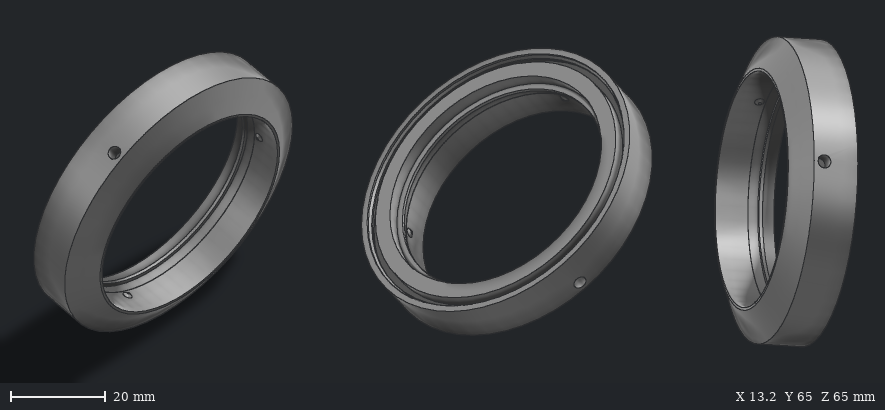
import cadquery as cq

length = 13.2
cone_start = 9.7
mouth_depth = 0.5
ridge_start = 1.05
ridge_end = 1.5
groove_floor = 3.0
seat = groove_floor
lip_back = 3.8
relief_end = 6.0

outer_diameter = 65.0
counterbore_diameter = 51.2
cone_end_diameter = counterbore_diameter
groove_diameter = 62.2
ridge_diameter = 61.2
sleeve_diameter = 58.2
lip_diameter = 48.5
relief_diameter = 50.1
bore_diameter = 50.0

hole_x = 7.4
hole_diameter = 2.8
hole_depth = 4.0
hole_count = 3
tip_base_diameter = 2.1
tip_end_diameter = 0.65
tip_height = 0.5
tip_root = 0.65


def ring_body():
    """Ring section revolved about X; each point is (x, diameter)."""
    section = [
        (0, outer_diameter),
        (cone_start, outer_diameter),
        (length, cone_end_diameter),
        (length, bore_diameter),
        (relief_end, bore_diameter),
        (relief_end, relief_diameter),
        (lip_back, relief_diameter),
        (lip_back, lip_diameter),
        (seat, lip_diameter),
        (seat, counterbore_diameter),
        (0, counterbore_diameter),
        (0, sleeve_diameter),
        (groove_floor, sleeve_diameter),
        (groove_floor, groove_diameter),
        (ridge_end, groove_diameter),
        (ridge_end, ridge_diameter),
        (ridge_start, ridge_diameter),
        (mouth_depth, groove_diameter),
        (0, groove_diameter),
    ]
    points = [(x, diameter / 2) for x, diameter in section]
    return cq.Workplane("XY").polyline(points).close().revolve(360, (0, 0, 0), (1, 0, 0))


def radial_hole():
    """Blind hole on the +Y side, drilled inward from the outer surface."""
    start = cq.Workplane("XZ", origin=(hole_x, outer_diameter / 2, 0))
    return start.circle(hole_diameter / 2).extrude(hole_depth)


def cone_tip():
    """Blunt cone on the +Y side of the bore, pointing at the axis and rooted in the wall."""
    bore_radius = bore_diameter / 2
    profile = [
        (hole_x, bore_radius + tip_root),
        (hole_x + tip_base_diameter / 2, bore_radius + tip_root),
        (hole_x + tip_base_diameter / 2, bore_radius),
        (hole_x + tip_end_diameter / 2, bore_radius - tip_height),
        (hole_x, bore_radius - tip_height),
    ]
    return cq.Workplane("XY").polyline(profile).close().revolve(360, (hole_x, 0, 0), (hole_x, 1, 0))


result = ring_body()
for index in range(hole_count):
    angle = 360 * index / hole_count
    result = result.cut(radial_hole().rotate((0, 0, 0), (1, 0, 0), angle))
    result = result.union(cone_tip().rotate((0, 0, 0), (1, 0, 0), angle))